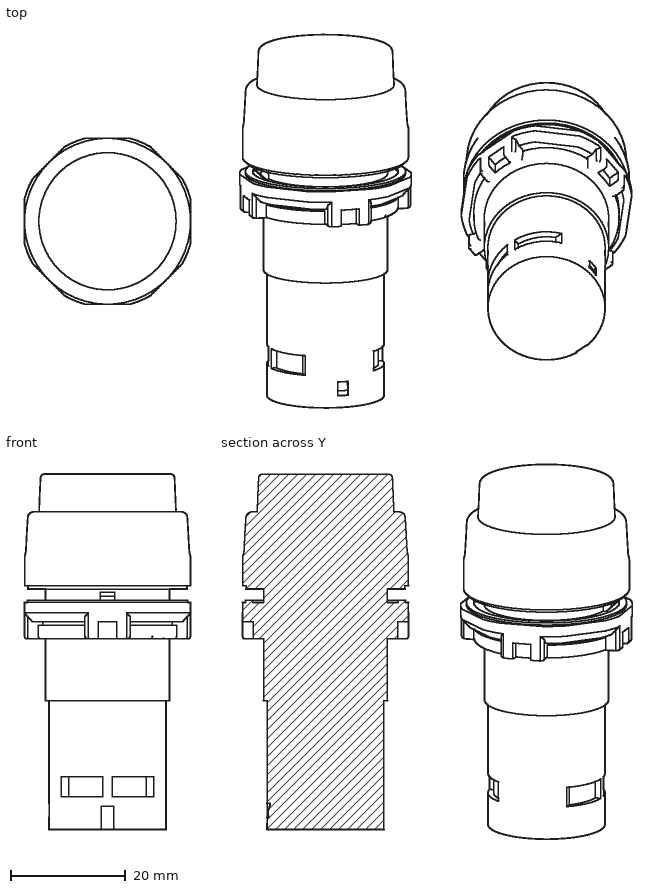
import cadquery as cq
import math

TOTAL_HEIGHT = 62.1
BODY_STEP_Z = 22.5
NUT_BOTTOM_Z = 33.3
RING_TOP_Z = 35.7
NUT_BEVEL_BOTTOM_Z = 36.25
NUT_BEVEL_TOP_Z = 37.8
NUT_TOP_Z = 39.7
WASHER_TOP_Z = 40.05
CAP_BOTTOM_Z = 42.0
CAP_RIM_Z = 42.55
CAP_FLARE_BOTTOM_Z = 47.75
CAP_FLARE_TOP_Z = 48.9
CAP_TOP_Z = 55.5

BARREL_DIA = 20.5
NECK_DIA = 21.75
NUT_CORE_DIA = 24.0
RING_DIA = 25.4
WASHER_DIA = 28.0
WASHER_BORE_DIA = RING_DIA
CAP_LIP_DIA = 27.8
CAP_DIA = 29.0
CAP_FLARE_DIA = 28.55
CAP_TOP_DIA = 27.8
BUTTON_BASE_DIA = 24.0
BUTTON_TOP_DIA = 23.4
CAP_FILLET = 1.1
BUTTON_FILLET = 0.75

NUT_FLATS = CAP_DIA
NUT_CORNER_DIA = 30.05
NUT_BEVEL_RUN = 1.35
FLAT_COUNT = 8
LUG_SIDE_CHAMFER = 0.55
LUG_FOOT_FILLET = 0.5
LUG_NOTCH_WIDTH = 3.3
LUG_NOTCH_TOP_Z = 36.25

FINGER_WIDTH = 2.6
FINGER_THICKNESS = 1.05
FINGER_LENGTH = 2.5
FINGER_TIP_Y = 12.4
FINGER_TIP_Z = 40.75
FINGER_LEAN = 45

WINDOW_BOTTOM_Z = 5.7
WINDOW_TOP_Z = 9.2
WINDOW_FLOOR_DIA = 18.5
WINDOW_RIB_WIDTH = 1.6
WINDOW_SIDE_Y = 6.3

LABEL_WIDTH = 2.25
LABEL_HEIGHT = 4.05
LABEL_DEPTH = 0.2
CATCH_WIDTH = 1.85
CATCH_BOTTOM_Z = 2.1
CATCH_RAMP_Z = 3.0
CATCH_TOP_Z = 4.6
CATCH_TOP_DEPTH = 0.6
CATCH_NOSE_DEPTH = 0.1
CATCH_FOOT_DEPTH = 0.3

OVERCUT = 0.6


def cylinder(diameter, bottom_z, top_z):
    return cq.Workplane("XY").workplane(offset=bottom_z).circle(diameter / 2).extrude(top_z - bottom_z)


def make_body():
    """Barrel with the wider neck that runs up into the cap."""
    barrel = cylinder(BARREL_DIA, 0, BODY_STEP_Z)
    neck = cylinder(NECK_DIA, BODY_STEP_Z, CAP_BOTTOM_Z)
    return barrel.union(neck)


def make_cap():
    """Bezel: a straight band, a small flare and a tapered, rounded top."""
    profile = (
        cq.Workplane("XZ")
        .moveTo(0, CAP_TOP_Z)
        .lineTo(CAP_TOP_DIA / 2, CAP_TOP_Z)
        .lineTo(CAP_FLARE_DIA / 2, CAP_FLARE_TOP_Z)
        .tangentArcPoint((CAP_DIA / 2, CAP_FLARE_BOTTOM_Z), relative=False)
        .lineTo(CAP_DIA / 2, CAP_RIM_Z)
        .lineTo(CAP_LIP_DIA / 2, CAP_RIM_Z)
        .lineTo(CAP_LIP_DIA / 2, CAP_BOTTOM_Z)
        .lineTo(0, CAP_BOTTOM_Z)
        .close()
    )
    return profile.revolve(360, (0, 0), (0, 1)).faces(">Z").edges().fillet(CAP_FILLET)


def make_button():
    """Slightly tapered push button with a rounded top edge."""
    profile = (
        cq.Workplane("XZ")
        .moveTo(0, CAP_BOTTOM_Z)
        .lineTo(BUTTON_BASE_DIA / 2, CAP_BOTTOM_Z)
        .lineTo(BUTTON_BASE_DIA / 2, CAP_TOP_Z)
        .lineTo(BUTTON_TOP_DIA / 2, TOTAL_HEIGHT)
        .lineTo(0, TOTAL_HEIGHT)
        .close()
    )
    return profile.revolve(360, (0, 0), (0, 1)).faces(">Z").edges().fillet(BUTTON_FILLET)


def octagon(flats, bottom_z):
    """Octagon outline with flats square to X and Y."""
    corner_dia = flats / math.cos(math.pi / FLAT_COUNT)
    return (
        cq.Workplane("XY")
        .workplane(offset=bottom_z)
        .transformed(rotate=(0, 0, 180 / FLAT_COUNT))
        .polygon(FLAT_COUNT, corner_dia)
    )


def make_nut():
    """Octagonal lock nut, bevelled underneath, with four notched gripping lugs."""
    bevel_height = NUT_BEVEL_TOP_Z - NUT_BEVEL_BOTTOM_Z
    bevel_angle = math.degrees(math.atan2(NUT_BEVEL_RUN, bevel_height))
    plate = octagon(NUT_FLATS, NUT_BEVEL_TOP_Z).extrude(NUT_TOP_Z - NUT_BEVEL_TOP_Z)
    plate = plate.intersect(cylinder(NUT_CORNER_DIA, NUT_BEVEL_TOP_Z, NUT_TOP_Z))
    bevel = plate.faces("<Z").wires().toPending().extrude(-bevel_height, taper=bevel_angle)
    washer = cylinder(WASHER_DIA, NUT_TOP_Z, WASHER_TOP_Z)
    washer = washer.cut(cylinder(WASHER_BORE_DIA, NUT_TOP_Z, WASHER_TOP_Z))
    core = cylinder(NUT_CORE_DIA, NUT_BOTTOM_Z, NUT_TOP_Z)
    return plate.union(bevel).union(core).union(washer).union(make_nut_foot())


def make_nut_foot():
    """Ring with four eased lugs below the nut plate, each lug notched at its foot."""
    outer = NUT_FLATS / 2
    lug_width = 2 * math.sqrt((NUT_CORNER_DIA / 2) ** 2 - outer**2)
    lug_height = NUT_BEVEL_TOP_Z - NUT_BOTTOM_Z
    notch_height = LUG_NOTCH_TOP_Z - NUT_BOTTOM_Z
    ring = cylinder(RING_DIA, NUT_BOTTOM_Z, RING_TOP_Z)
    bars = bar_pair(lug_width, lug_height)
    bars = bars.edges("|Z and (>X or <X or >Y or <Y)").chamfer(LUG_SIDE_CHAMFER)
    foot = ring.union(bars).faces("<Z").edges().fillet(LUG_FOOT_FILLET)
    notches = bar_pair(LUG_NOTCH_WIDTH, notch_height).cut(cylinder(RING_DIA, NUT_BOTTOM_Z, LUG_NOTCH_TOP_Z))
    return foot.cut(notches)


def bar_pair(width, height):
    """Cross of two bars as long as the nut is wide, standing on the level of the nut's foot."""
    bar = cq.Workplane("XY").workplane(offset=NUT_BOTTOM_Z).rect(NUT_FLATS, width).extrude(height)
    return bar.union(bar.rotate((0, 0, 0), (0, 0, 1), 90))


def make_finger():
    """Straight spring finger on the +Y side, leaning outwards out of the neck."""
    finger = cq.Workplane("XY").box(FINGER_WIDTH, FINGER_THICKNESS, FINGER_LENGTH)
    finger = finger.translate((0, -FINGER_THICKNESS / 2, -FINGER_LENGTH / 2))
    finger = finger.rotate((0, 0, 0), (1, 0, 0), -FINGER_LEAN)
    return finger.translate((0, FINGER_TIP_Y, FINGER_TIP_Z))


def make_windows():
    """Curved-floor recesses beside the front and back ribs."""
    shell = cylinder(BARREL_DIA + 2 * OVERCUT, WINDOW_BOTTOM_Z, WINDOW_TOP_Z)
    shell = shell.cut(cylinder(WINDOW_FLOOR_DIA, WINDOW_BOTTOM_Z, WINDOW_TOP_Z))
    rib = cq.Workplane("XY").box(WINDOW_RIB_WIDTH, BARREL_DIA * 2, TOTAL_HEIGHT)
    sides = cq.Workplane("XY").box(BARREL_DIA * 2, 2 * WINDOW_SIDE_Y, TOTAL_HEIGHT)
    return shell.cut(rib).cut(sides)


def make_label():
    """Shallow flat recess at the front that is open at the bottom of the barrel."""
    depth = LABEL_DEPTH + OVERCUT
    label = cq.Workplane("XY").box(LABEL_WIDTH, depth, LABEL_HEIGHT, centered=(True, False, False))
    return label.translate((0, -BARREL_DIA / 2 - OVERCUT, 0))


def make_catch():
    """Pocket on the -X side whose floor slopes out to a nose and back in again."""
    face = -BARREL_DIA / 2
    outline = [
        (face - OVERCUT, CATCH_BOTTOM_Z),
        (face + CATCH_FOOT_DEPTH, CATCH_BOTTOM_Z),
        (face + CATCH_NOSE_DEPTH, CATCH_RAMP_Z),
        (face + CATCH_TOP_DEPTH, CATCH_TOP_Z),
        (face - OVERCUT, CATCH_TOP_Z),
    ]
    return cq.Workplane("XZ").polyline(outline).close().extrude(CATCH_WIDTH / 2, both=True)


result = make_body().union(make_nut()).union(make_cap()).union(make_button())
finger = make_finger()
result = result.union(finger).union(finger.mirror("XZ"))
result = result.cut(make_windows()).cut(make_label()).cut(make_catch())